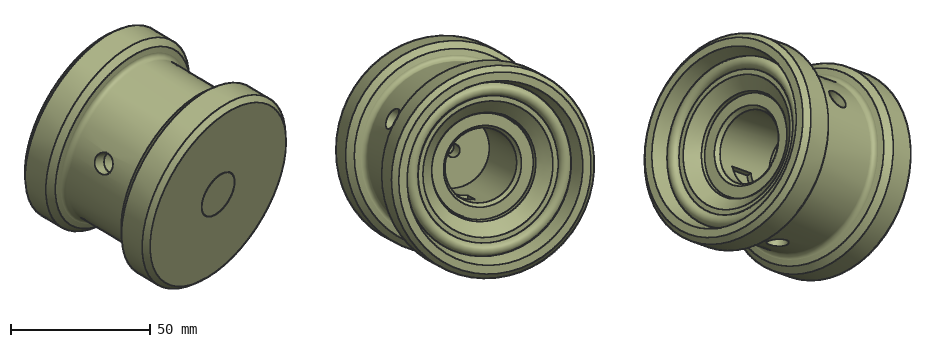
import cadquery as cq
import math

width = 60.0
rim_dia = 78.0
rim_chamfer = 2.0
rim_inner_x = 18.1
rim_inner_chamfer = 2.4
neck_dia = 64.8
neck_half_length = 13.25
neck_fillet = 1.95

mouth_dia = 67.55
bead_outer_dia = 63.7
bead_inner_dia = 54.0
bead_x = -22.9
cone_large_dia = 50.0
socket_dia = 40.0
cone_small_x = -18.7

neck_hole_dia = 8.0
neck_hole_count = 3
neck_hole_floor_r = 26.5
drill_point_angle = 118.0
first_neck_hole_angle = 30.0

flange_dia = 39.0
flange_face_x = -17.5
flange_thickness = 3.1
cup_dia = 31.5
cup_bore_dia = 27.5
cup_mouth_dia = 29.95
cup_mouth_depth = 1.7
cup_floor_x = 11.7
cup_floor_thickness = 3.1
stem_dia = 17.7
center_hole_dia = 4.9
center_hole_depth = 6.25

window_start_x = -9.2
window_end_x = -0.4
window_end_slant = 10.0
window_mid_angle = -52.0
window_sweep = 78.0

housing_bore_dia = 32.0
stem_bore_dia = 18.0

end_x = width / 2
rim_r = rim_dia / 2
neck_r = neck_dia / 2
flange_back_x = flange_face_x + flange_thickness
cup_end_x = cup_floor_x + cup_floor_thickness
cup_bore_start_x = flange_face_x + cup_mouth_depth


def revolve_about_x(profile):
    return profile.close().revolve(360, (0, 0, 0), (1, 0, 0))


def cylinder_along_x(diameter, start_x, end):
    return cq.Workplane("YZ", origin=(start_x, 0, 0)).circle(diameter / 2).extrude(end - start_x)


def spool_blank():
    """Spool with its recess, bead and stepped bore, before the neck holes."""
    wall_x = neck_half_length + neck_fillet
    chamfer_x = rim_inner_x - rim_inner_chamfer
    chamfer_r = rim_r - rim_inner_chamfer
    fillet_r = neck_r + neck_fillet
    arc_offset = neck_fillet * (1 - math.sqrt(0.5))
    bead_mid_r = (bead_outer_dia + bead_inner_dia) / 4
    bead_height = (bead_outer_dia - bead_inner_dia) / 4
    profile = (
        cq.Workplane("XY")
        .moveTo(-end_x, mouth_dia / 2)
        .lineTo(-end_x, rim_r - rim_chamfer)
        .lineTo(-end_x + rim_chamfer, rim_r)
        .lineTo(-rim_inner_x, rim_r)
        .lineTo(-chamfer_x, chamfer_r)
        .lineTo(-wall_x, fillet_r)
        .threePointArc((-wall_x + arc_offset, neck_r + arc_offset), (-neck_half_length, neck_r))
        .lineTo(neck_half_length, neck_r)
        .threePointArc((wall_x - arc_offset, neck_r + arc_offset), (wall_x, fillet_r))
        .lineTo(chamfer_x, chamfer_r)
        .lineTo(rim_inner_x, rim_r)
        .lineTo(end_x - rim_chamfer, rim_r)
        .lineTo(end_x, rim_r - rim_chamfer)
        .lineTo(end_x, stem_bore_dia / 2)
        .lineTo(cup_end_x, stem_bore_dia / 2)
        .lineTo(cup_end_x, housing_bore_dia / 2)
        .lineTo(flange_back_x, housing_bore_dia / 2)
        .lineTo(flange_back_x, socket_dia / 2)
        .lineTo(cone_small_x, socket_dia / 2)
        .lineTo(bead_x, cone_large_dia / 2)
        .lineTo(bead_x, bead_inner_dia / 2)
        .threePointArc((bead_x - bead_height, bead_mid_r), (bead_x, bead_outer_dia / 2))
    )
    return revolve_about_x(profile)


def radial_hole(angle):
    """Drilled hole pointing away from the X axis, turned from +Y towards +Z."""
    neck_hole_r = neck_hole_dia / 2
    point_depth = neck_hole_r / math.tan(math.radians(drill_point_angle / 2))
    hole = (
        cq.Workplane("XY")
        .moveTo(0, neck_hole_floor_r - point_depth)
        .lineTo(neck_hole_r, neck_hole_floor_r)
        .lineTo(neck_hole_r, rim_r)
        .lineTo(0, rim_r)
        .close()
        .revolve(360, (0, 0, 0), (0, 1, 0))
    )
    return hole.rotate((0, 0, 0), (1, 0, 0), angle)


def make_housing():
    body = spool_blank()
    for index in range(neck_hole_count):
        body = body.cut(radial_hole(first_neck_hole_angle + index * 360 / neck_hole_count))
    return body


def cup_window():
    """Sector of a ring that opens the cup wall, trimmed by a slanted plane."""
    outer_r = socket_dia / 2
    sector = (
        cq.Workplane("XY")
        .moveTo(window_start_x, 0)
        .lineTo(cup_floor_x, 0)
        .lineTo(cup_floor_x, outer_r)
        .lineTo(window_start_x, outer_r)
        .close()
        .revolve(window_sweep, (0, 0, 0), (1, 0, 0))
        .rotate((0, 0, 0), (1, 0, 0), -window_sweep / 2)
    )
    trim = (
        cq.Workplane("XY")
        .box(width, rim_dia, rim_dia, centered=(False, True, True))
        .rotate((0, 0, 0), (0, 1, 0), window_end_slant)
        .translate((window_end_x, 0, 0))
    )
    return sector.cut(trim).rotate((0, 0, 0), (1, 0, 0), window_mid_angle)


def make_insert():
    profile = (
        cq.Workplane("XY")
        .moveTo(flange_face_x, cup_mouth_dia / 2)
        .lineTo(flange_face_x, flange_dia / 2)
        .lineTo(flange_back_x, flange_dia / 2)
        .lineTo(flange_back_x, cup_dia / 2)
        .lineTo(cup_end_x, cup_dia / 2)
        .lineTo(cup_end_x, stem_dia / 2)
        .lineTo(end_x, stem_dia / 2)
        .lineTo(end_x, 0)
        .lineTo(cup_floor_x, 0)
        .lineTo(cup_floor_x, cup_bore_dia / 2)
        .lineTo(cup_bore_start_x, cup_bore_dia / 2)
    )
    center_hole = cylinder_along_x(center_hole_dia, cup_floor_x, cup_floor_x + center_hole_depth)
    return revolve_about_x(profile).cut(cup_window()).cut(center_hole)


housing = make_housing()
insert = make_insert()

result = cq.Compound.makeCompound([housing.val(), insert.val()])